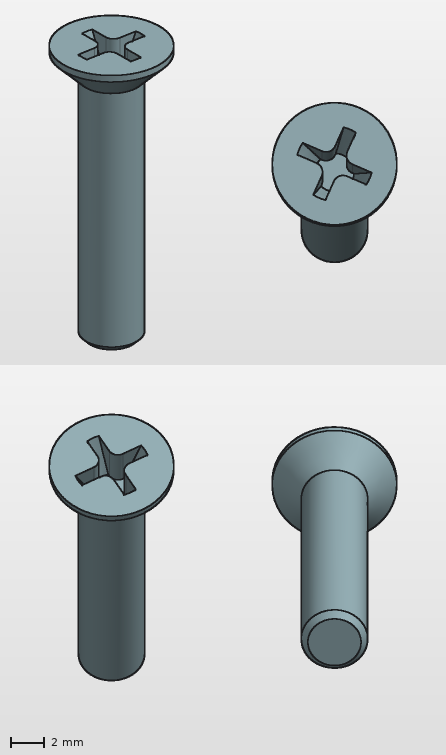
import cadquery as cq

total_length = 20.0
shank_diameter = 4.0
head_diameter = 7.5
rim_height = 0.45
tip_chamfer = 0.4

recess_top_diameter = 4.6
recess_floor_diameter = 2.35
recess_depth = 2.6
slot_width = 0.8
inner_corner_radius = 0.6

shank_radius = shank_diameter / 2
head_radius = head_diameter / 2
cone_height = head_radius - shank_radius
rim_bottom = total_length - rim_height
cone_bottom = rim_bottom - cone_height
recess_floor = total_length - recess_depth


def make_body():
    """Head and shank as one revolved profile in the XZ plane."""
    return (
        cq.Workplane("XZ")
        .lineTo(shank_radius - tip_chamfer, 0)
        .lineTo(shank_radius, tip_chamfer)
        .lineTo(shank_radius, cone_bottom)
        .lineTo(head_radius, rim_bottom)
        .lineTo(head_radius, total_length)
        .lineTo(0, total_length)
        .close()
        .revolve(360, (0, 0, 0), (0, 1, 0))
    )


def make_recess():
    """Rounded cross prism trimmed by a cone, so the slot ends slope inwards."""
    floor_plane = cq.Workplane("XY").workplane(offset=recess_floor)
    x_slot = floor_plane.rect(head_diameter, slot_width).extrude(recess_depth)
    y_slot = floor_plane.rect(slot_width, head_diameter).extrude(recess_depth)
    corner_span = slot_width + inner_corner_radius
    inner_corners = cq.selectors.BoxSelector(
        (-corner_span / 2, -corner_span / 2, recess_floor),
        (corner_span / 2, corner_span / 2, total_length),
    )
    cross = x_slot.union(y_slot).edges("|Z").edges(inner_corners).fillet(inner_corner_radius)
    cone = (
        floor_plane.circle(recess_floor_diameter / 2)
        .workplane(offset=recess_depth)
        .circle(recess_top_diameter / 2)
        .loft(ruled=True)
    )
    return cross.intersect(cone)


result = make_body().cut(make_recess())